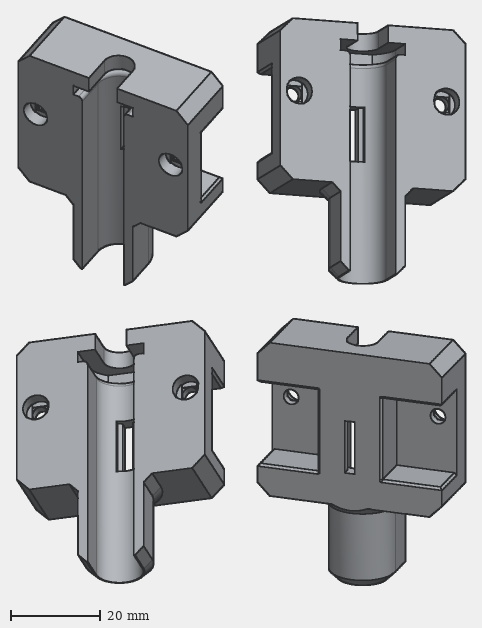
import cadquery as cq

width = 44.0
depth = 15.7
height = 57.0
body_height = 37.0
corner_chamfer = 2.95
body_bottom = height - body_height

axis_y = 6.95
neck_radius = 7.7
neck_chamfer = 2.0

channel_radius = 5.4
exit_radius = 3.65
collar_radius = neck_radius
collar_back_y = 13.2
collar_top = height - 4.0
collar_bottom = height - 6.55
collar_fillet = 0.95

window_width = 4.45
window_back_width = 2.4
window_bottom = 28.0
window_height = 12.55
shoulder_y = 13.1
shoulder_depth = 0.45

plate_thickness = 5.85
pocket_bottom = 27.4
pocket_height = 19.6
pocket_chamfer = 0.55
core_half_width = neck_radius

screw_spacing = 35.0
screw_z = 40.45
screw_diameter = 3.55
head_diameter = 6.05
head_depth = 3.0
bridge_step = 0.3


def u_solid(radius, z_low, z_high, taper=0.0):
    """Upright U-shaped prism: round at the back, running out past the front face."""
    front_y = -depth
    return (
        cq.Workplane("XY", origin=(0, 0, z_low))
        .moveTo(-radius, front_y)
        .lineTo(-radius, axis_y)
        .threePointArc((0, axis_y + radius), (radius, axis_y))
        .lineTo(radius, front_y)
        .close()
        .extrude(z_high - z_low, taper=taper)
    )


def box(x_low, x_high, y_low, y_high, z_low, z_high):
    size = (x_high - x_low, y_high - y_low, z_high - z_low)
    return cq.Workplane("XY", origin=(x_low, y_low, z_low)).box(*size, centered=False)


def make_body():
    block = box(-width / 2, width / 2, 0, depth, body_bottom, height)
    return block.edges("|Y").chamfer(corner_chamfer)


def make_neck():
    """Neck with a chamfered lower end and a 45 degree flare into the body."""
    flare_bottom = body_bottom - neck_chamfer
    tip = u_solid(neck_radius - neck_chamfer, 0, neck_chamfer, taper=-45)
    shaft = u_solid(neck_radius, neck_chamfer, flare_bottom)
    flare = u_solid(neck_radius, flare_bottom, body_bottom, taper=-45)
    envelope = box(-width / 2, width / 2, 0, depth, 0, body_bottom)
    return tip.union(shaft).union(flare).intersect(envelope)


def make_channel():
    """Tube channel with a rounded mouth, collar seat with a flat back, and top exit."""
    channel = u_solid(channel_radius, 0, collar_bottom)
    collar = u_solid(collar_radius, collar_bottom, collar_top)
    margin = 0.05
    mouth = cq.selectors.BoxSelector(
        (-channel_radius - margin, -depth - margin, collar_bottom - margin),
        (channel_radius + margin, depth, collar_bottom + margin),
        boundingbox=True,
    )
    seat = channel.union(collar).edges(mouth).fillet(collar_fillet)
    seat = seat.intersect(box(-width, width, -depth, collar_back_y, 0, height))
    return seat.union(u_solid(exit_radius, collar_top, height))


def make_window():
    half_front = window_width / 2
    half_back = window_back_width / 2
    throat_y = shoulder_y + shoulder_depth
    return (
        cq.Workplane("XY", origin=(0, 0, window_bottom))
        .polyline([
            (-half_front, axis_y),
            (half_front, axis_y),
            (half_front, shoulder_y),
            (half_back, throat_y),
            (half_back, depth),
            (-half_back, depth),
            (-half_back, throat_y),
            (-half_front, shoulder_y),
        ])
        .close()
        .extrude(window_height)
    )


def make_pocket():
    """Pocket on the +X side, flared at 45 degrees along its outer and back openings."""
    x_high = width
    y_high = 2 * depth
    z_high = pocket_bottom + pocket_height
    middle_x = (core_half_width + x_high) / 2
    middle_y = (plate_thickness + y_high) / 2
    middle_z = pocket_bottom + pocket_height / 2
    length_x = x_high - core_half_width
    length_y = y_high - plate_thickness
    pocket = box(core_half_width, x_high, plate_thickness, y_high, pocket_bottom, z_high)
    side_flare = (
        cq.Workplane("YZ", origin=(width / 2 - pocket_chamfer, middle_y, middle_z))
        .rect(length_y, pocket_height)
        .extrude(pocket_chamfer, taper=-45)
        .intersect(box(0, x_high, plate_thickness, y_high, 0, height))
    )
    back_flare = (
        cq.Workplane("ZX", origin=(middle_x, depth - pocket_chamfer, middle_z))
        .rect(pocket_height, length_x)
        .extrude(pocket_chamfer, taper=-45)
    )
    return pocket.union(side_flare).union(back_flare)


def make_screw_hole(x):
    center = cq.Workplane("XZ", origin=(x, 0, screw_z))
    head = center.circle(head_diameter / 2).extrude(-head_depth)
    first = (
        center.workplane(offset=-head_depth)
        .rect(screw_diameter, head_diameter)
        .extrude(-bridge_step)
        .intersect(center.circle(head_diameter / 2).extrude(-depth))
    )
    second = (
        center.workplane(offset=-head_depth)
        .rect(screw_diameter, screw_diameter)
        .extrude(-2 * bridge_step)
    )
    shank = center.circle(screw_diameter / 2).extrude(-depth)
    return head.union(first).union(second).union(shank)


result = make_body().union(make_neck()).cut(make_channel()).cut(make_window())

pocket = make_pocket()
result = result.cut(pocket).cut(pocket.mirror("YZ"))

for side in (-1, 1):
    result = result.cut(make_screw_hole(side * screw_spacing / 2))